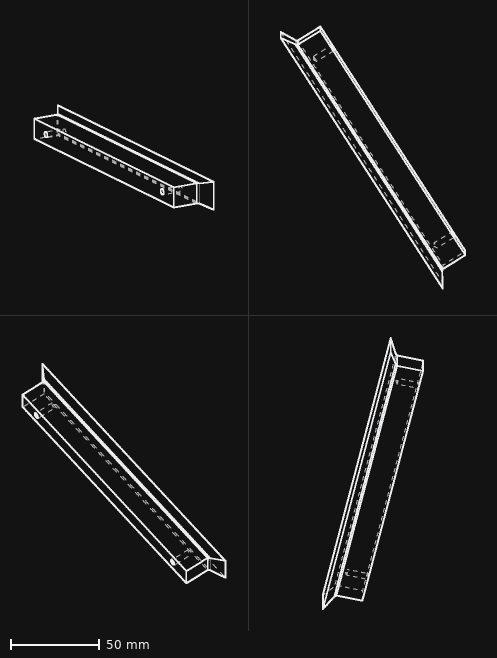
import cadquery as cq
import math

LENGTH = 172.0
DEPTH = 21.0
HEIGHT = 16.7

BAR_LENGTH = 154.0
BAR_HEIGHT = 12.0

TAPER_DEPTH = 4.8
NECK_DEPTH = 1.0
NECK_LENGTH = 155.8
FLANGE_DEPTH = TAPER_DEPTH + NECK_DEPTH
BAR_DEPTH = DEPTH - FLANGE_DEPTH

HOLE_DIAMETER = 3.3
HOLE_SPACING = 128.0
HOLE_DEPTH = 12.0
DRILL_ANGLE = 118.0



def frustum(back_y, depth, back_size, front_size):
    """Rectangular frustum narrowing toward -Y; each size is (length, height)."""
    return (
        cq.Workplane("XZ", origin=(0, back_y, 0))
        .rect(*back_size)
        .workplane(offset=depth)
        .rect(*front_size)
        .loft(ruled=True)
    )


def make_flange():
    """Flange tapering on all four sides, with a neck sloped only at its ends."""
    neck_size = (NECK_LENGTH, BAR_HEIGHT)
    taper = frustum(0, TAPER_DEPTH, (LENGTH, HEIGHT), neck_size)
    neck = frustum(-TAPER_DEPTH, NECK_DEPTH, neck_size, (BAR_LENGTH, BAR_HEIGHT))
    return taper.union(neck)


def make_screw_hole(x):
    """Cutter for one drilled hole, entering the front face of the bar."""
    radius = HOLE_DIAMETER / 2
    tip_depth = radius / math.tan(math.radians(DRILL_ANGLE / 2))
    front_y = -DEPTH
    shoulder_y = front_y + HOLE_DEPTH
    return (
        cq.Workplane("XY")
        .moveTo(0, front_y)
        .lineTo(radius, front_y)
        .lineTo(radius, shoulder_y)
        .lineTo(0, shoulder_y + tip_depth)
        .close()
        .revolve(360, (0, 0, 0), (0, 1, 0))
        .translate((x, 0, 0))
    )


def make_bar():
    """Rectangular bar with two screw holes in its front face."""
    bar = (
        cq.Workplane("XZ", origin=(0, -FLANGE_DEPTH, 0))
        .rect(BAR_LENGTH, BAR_HEIGHT)
        .extrude(BAR_DEPTH)
    )
    for side in (-1, 1):
        bar = bar.cut(make_screw_hole(side * HOLE_SPACING / 2))
    return bar


flange = make_flange()
bar = make_bar()
result = cq.Compound.makeCompound([flange.val(), bar.val()])